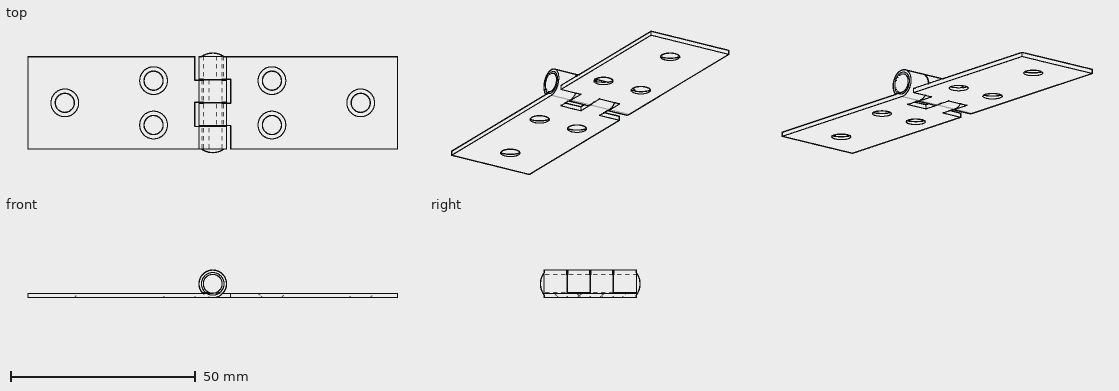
import cadquery as cq
import math

hinge_length = 100.0
leaf_width = 25.0
sheet = 1.2

pin_diameter = 5.1
pin_radius = pin_diameter / 2
knuckle_radius = pin_radius + sheet
axis_height = knuckle_radius
curl_slit = 0.2
knuckle_count = 4
knuckle_pitch = leaf_width / knuckle_count
knuckle_gap = 0.2
notch_clearance = 1.1
notch_edge = knuckle_radius + notch_clearance

head_diameter = 6.1
hinge_width = 27.0
head_height = (hinge_width - leaf_width) / 2

screw_diameter = 5.1
sink_diameter = screw_diameter + 2 * sheet
screw_places = [(40.0, 0.0), (16.0, 6.0), (16.0, -6.0)]


def box(x_start, x_end, y_start, y_end, z_start, z_end):
    """Box spanning the given limits."""
    size = (x_end - x_start, y_end - y_start, z_end - z_start)
    return cq.Workplane("XY").box(*size, centered=False).translate((x_start, y_start, z_start))


def axial_cylinder(radius):
    """Cylinder on the hinge axis, as long as the leaf is wide."""
    return cq.Workplane("XZ").center(0, axis_height).circle(radius).extrude(leaf_width / 2, both=True)


def rolled_sheet():
    """Flat plate on the -X side whose inner edge is rolled up around the pin."""
    half_width = leaf_width / 2
    plate = box(-hinge_length / 2, 0, -half_width, half_width, 0, sheet)
    slit = box(-knuckle_radius, 0, -half_width, half_width, sheet, sheet + curl_slit)
    roll = axial_cylinder(knuckle_radius).cut(slit)
    return plate.union(roll).cut(axial_cylinder(pin_radius))


def knuckle_notches():
    """Clearance for the other leaf's knuckles: every second place, up to the +Y end."""
    notches = cq.Workplane("XY")
    for place in range(1, knuckle_count, 2):
        y_start = -leaf_width / 2 + place * knuckle_pitch - knuckle_gap / 2
        y_end = y_start + knuckle_pitch + knuckle_gap
        notches = notches.add(box(-notch_edge, knuckle_radius, y_start, y_end, 0, 2 * knuckle_radius))
    return notches.combine()


def screw_hole(distance, y):
    """Cone through the plate, widest at the top face."""
    return (
        cq.Workplane("XY")
        .center(-distance, y)
        .circle(screw_diameter / 2)
        .workplane(offset=sheet)
        .circle(sink_diameter / 2)
        .loft()
    )


def make_leaf(turn):
    """One hinge leaf, turned about the vertical through the hinge centre."""
    leaf = rolled_sheet().cut(knuckle_notches())
    for distance, y in screw_places:
        leaf = leaf.cut(screw_hole(distance, y))
    return leaf.rotate((0, 0, 0), (0, 0, 1), turn)


def make_pin():
    """Round pin with a domed head over each end, revolved about the hinge axis."""
    shank_end = leaf_width / 2
    head_end = hinge_width / 2
    head_radius = head_diameter / 2
    dome_radius = (head_radius**2 + head_height**2) / (2 * head_height)
    dome_center = head_end - dome_radius
    half_angle = math.asin(head_radius / dome_radius) / 2
    mid_radius = dome_radius * math.sin(half_angle)
    mid_y = dome_center + dome_radius * math.cos(half_angle)
    profile = (
        cq.Workplane("XY")
        .moveTo(0, -head_end)
        .threePointArc((mid_radius, -mid_y), (head_radius, -shank_end))
        .lineTo(pin_radius, -shank_end)
        .lineTo(pin_radius, shank_end)
        .lineTo(head_radius, shank_end)
        .threePointArc((mid_radius, mid_y), (0, head_end))
        .close()
    )
    return profile.revolve(360, (0, 0, 0), (0, 1, 0)).translate((0, 0, axis_height))


leaves = [make_leaf(turn) for turn in (0, 180)]
pin = make_pin()

result = cq.Compound.makeCompound([*[leaf.val() for leaf in leaves], pin.val()])